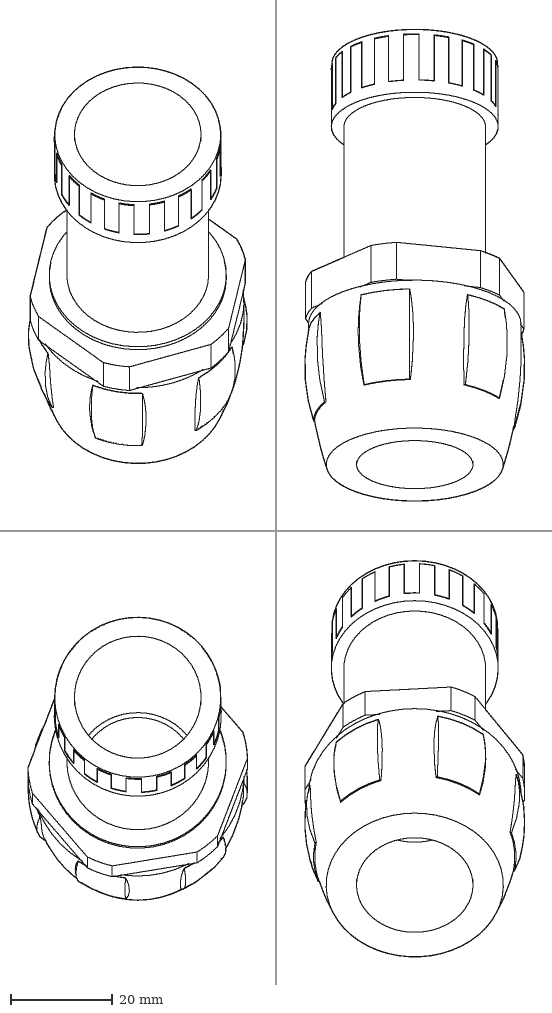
import cadquery as cq
import math

TOTAL_HEIGHT = 87.0
BARREL_TOP = 30.5
SKIRT_TOP = 23.5
HEX_TOP = BARREL_TOP + 8.0
COLLAR_TOP = HEX_TOP + 1.0
CAP_BOTTOM = TOTAL_HEIGHT - 13.7
BORE_STEP = BARREL_TOP

BARREL_DIAMETER = 42.0
SKIRT_BOTTOM_DIAMETER = 35.0
COLLAR_DIAMETER = 35.0
TUBE_DIAMETER = 28.0
CAP_DIAMETER = 32.8
UPPER_BORE_DIAMETER = 25.0
LOWER_BORE_DIAMETER = 23.0

HEX_ACROSS_FLATS = 40.0
HEX_CORNER_DIAMETER = 43.47

PAD_COUNT = 6
PAD_BOTTOM = 9.5
PAD_TOP = 28.6
PAD_CREST_HEIGHT = 20.5
PAD_BOTTOM_RADIUS = 20.0
PAD_TOP_RADIUS = 21.05
PAD_CREST_RADIUS = 21.73
PAD_ROOT_RADIUS = 17.0
PAD_FACE_ANGLE = 27.6
PAD_BEVEL = 1.5

RIB_COUNT = 17
RIB_DIAMETER = 33.0
RIB_TOP = TOTAL_HEIGHT - 1.0
RIB_BOTTOM = RIB_TOP - 10.0
RIB_BEVEL_HEIGHT = 0.2
RIB_PITCH = 360.0 / RIB_COUNT

FRONT_ANGLE = -90.0


def cylinder(diameter, bottom, top):
    return cq.Workplane("XY").workplane(offset=bottom).circle(diameter / 2).extrude(top - bottom)


def make_turned_body():
    """Barrel with a skirt curving in tangentially to the bottom, collar, tube and plain cap."""
    barrel_radius = BARREL_DIAMETER / 2
    collar_radius = COLLAR_DIAMETER / 2
    tube_radius = TUBE_DIAMETER / 2
    cap_radius = CAP_DIAMETER / 2
    rib_radius = RIB_DIAMETER / 2
    return (
        cq.Workplane("XZ")
        .moveTo(0, 0)
        .lineTo(0, TOTAL_HEIGHT)
        .lineTo(cap_radius, TOTAL_HEIGHT)
        .lineTo(cap_radius, RIB_TOP)
        .lineTo(rib_radius, RIB_TOP - RIB_BEVEL_HEIGHT)
        .lineTo(rib_radius, CAP_BOTTOM)
        .lineTo(tube_radius, CAP_BOTTOM)
        .lineTo(tube_radius, COLLAR_TOP)
        .lineTo(collar_radius, COLLAR_TOP)
        .lineTo(collar_radius, BARREL_TOP)
        .lineTo(barrel_radius, BARREL_TOP)
        .lineTo(barrel_radius, SKIRT_TOP)
        .tangentArcPoint((SKIRT_BOTTOM_DIAMETER / 2, 0), relative=False)
        .close()
        .revolve(360, (0, 0), (0, 1))
    )


def make_pad():
    """Bulged pad centred on the +X direction, its root inside the barrel and its sides bevelled."""
    bevel_angle = math.degrees(PAD_BEVEL / PAD_CREST_RADIUS)
    sweep_angle = PAD_FACE_ANGLE + 2 * bevel_angle
    block = (
        cq.Workplane("XZ")
        .moveTo(PAD_ROOT_RADIUS, PAD_BOTTOM)
        .lineTo(PAD_BOTTOM_RADIUS, PAD_BOTTOM)
        .threePointArc((PAD_CREST_RADIUS, PAD_CREST_HEIGHT), (PAD_TOP_RADIUS, PAD_TOP))
        .lineTo(PAD_ROOT_RADIUS, PAD_TOP)
        .close()
        .revolve(sweep_angle, (0, 0), (0, 1))
    )
    side_arcs = block.edges("%CIRCLE and (not (>Z or <Z))")
    return side_arcs.chamfer(PAD_BEVEL).rotate((0, 0, 0), (0, 0, 1), -sweep_angle / 2)


def copies_around(feature, count, first_angle):
    """Evenly spaced copies of a feature about Z, turned from +X to the first angle."""
    step = 360.0 / count
    axis_end = (0, 0, 1)
    return [feature.rotate((0, 0, 0), axis_end, first_angle + index * step) for index in range(count)]


def make_rib_gap():
    """Shallow groove between two ribs of the cap, centred on the +X direction."""
    gap_angle = RIB_PITCH / 2
    gap = (
        cq.Workplane("XZ")
        .moveTo(CAP_DIAMETER / 2, RIB_BOTTOM)
        .lineTo(RIB_DIAMETER, RIB_BOTTOM)
        .lineTo(RIB_DIAMETER, RIB_TOP)
        .lineTo(CAP_DIAMETER / 2, RIB_TOP)
        .close()
        .revolve(gap_angle, (0, 0), (0, 1))
    )
    return gap.rotate((0, 0, 0), (0, 0, 1), -gap_angle / 2)


def make_hexagon():
    """Hexagon with flats facing +X and -X and its corners rounded to a circle."""
    height = HEX_TOP - BARREL_TOP
    corner_to_corner = HEX_ACROSS_FLATS / math.cos(math.radians(30))
    prism = (
        cq.Workplane("XY")
        .workplane(offset=BARREL_TOP)
        .polygon(6, corner_to_corner)
        .extrude(height)
        .rotate((0, 0, 0), (0, 0, 1), 30)
    )
    return prism.intersect(cylinder(HEX_CORNER_DIAMETER, BARREL_TOP, HEX_TOP))


def make_bores():
    """Through bore, wider above the step."""
    lower = cylinder(LOWER_BORE_DIAMETER, 0, BORE_STEP)
    upper = cylinder(UPPER_BORE_DIAMETER, BORE_STEP, TOTAL_HEIGHT)
    return lower.union(upper)


result = make_turned_body()
for rib_gap in copies_around(make_rib_gap(), RIB_COUNT, FRONT_ANGLE + RIB_PITCH / 2):
    result = result.cut(rib_gap)
for pad in copies_around(make_pad(), PAD_COUNT, FRONT_ANGLE):
    result = result.union(pad)
result = result.union(make_hexagon())
result = result.cut(make_bores())